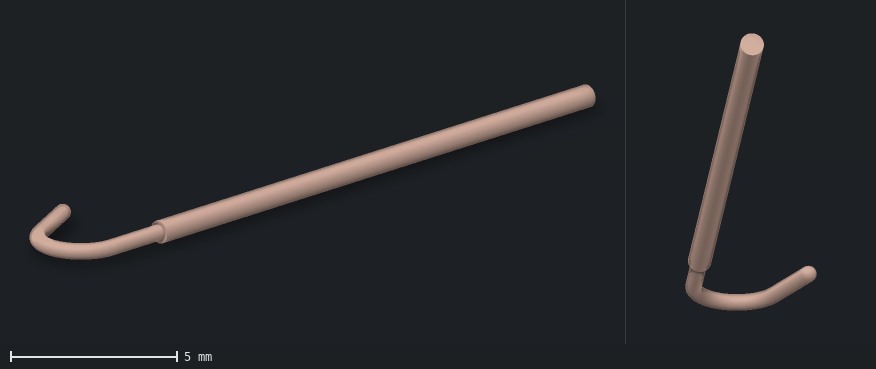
import cadquery as cq
import math

wire_diameter = 0.5
sleeve_diameter = 0.7
bend_radius = 1.3
tip_leg_length = 2.0
bare_leg_length = 2.0
overall_length = 19.11
shank_tilt = 26

wire_radius = wire_diameter / 2
tilt = math.radians(shank_tilt)
shank_direction = cq.Vector(math.sin(tilt), math.cos(tilt), 0)

tip_center = cq.Vector(-bend_radius, tip_leg_length, 0)
bend_start = cq.Vector(-bend_radius, 0, 0)
bend_end = cq.Vector(bend_radius * math.cos(tilt), -bend_radius * math.sin(tilt), 0)
half_bend = math.radians(180 - shank_tilt) / 2
bend_middle = cq.Vector(-bend_radius * math.cos(half_bend), -bend_radius * math.sin(half_bend), 0)
sleeve_start = bend_end + shank_direction * bare_leg_length

bend_bottom_y = -bend_radius - wire_radius
rim_rise = sleeve_diameter / 2 * math.sin(tilt)
shank_end_y = bend_bottom_y + overall_length - rim_rise
sleeve_length = (shank_end_y - sleeve_start.y) / math.cos(tilt)
shank_end = sleeve_start + shank_direction * sleeve_length


def make_wire():
    """Round hooked wire with a domed tip, running to the far end of the sleeve."""
    centreline = (
        cq.Workplane("XY")
        .moveTo(tip_center.x, tip_center.y)
        .lineTo(bend_start.x, bend_start.y)
        .threePointArc((bend_middle.x, bend_middle.y), (bend_end.x, bend_end.y))
        .lineTo(shank_end.x, shank_end.y)
    )
    start_plane = cq.Plane(origin=tip_center, xDir=(1, 0, 0), normal=(0, -1, 0))
    rod = cq.Workplane(start_plane).circle(wire_radius).sweep(centreline)
    dome = cq.Solid.makeSphere(wire_radius, tip_center, cq.Vector(0, 1, 0), 0, 90, 360)
    return rod.union(cq.Workplane(dome)).solids()


def make_sleeve():
    """Straight tube fitting closely around the end of the wire."""
    start_plane = cq.Plane(origin=sleeve_start, xDir=(0, 0, 1), normal=shank_direction)
    return (
        cq.Workplane(start_plane)
        .circle(sleeve_diameter / 2)
        .circle(wire_radius)
        .extrude(sleeve_length)
    )


wire = make_wire()
sleeve = make_sleeve()

result = cq.Compound.makeCompound([wire.val(), sleeve.val()])